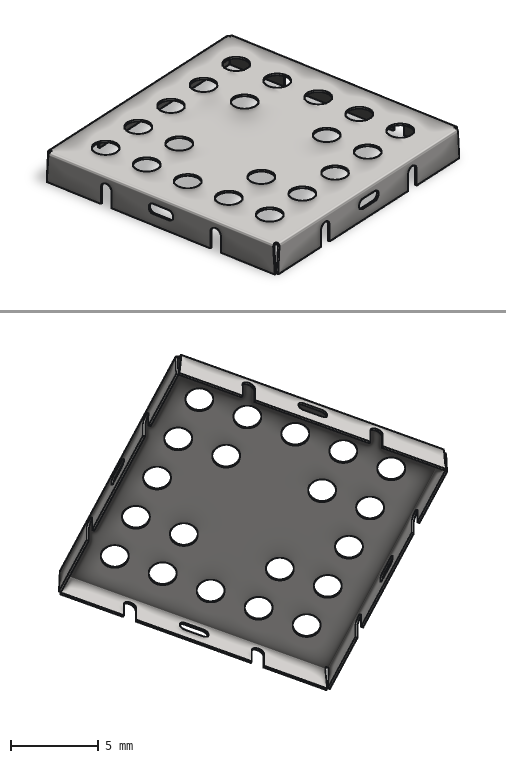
import cadquery as cq
import math

side = 16.96
height = 2.0

sheet = 0.14
bend_outer = 0.2
bend_inner = bend_outer - sheet

corner_relief = 0.27
foot_clearance = 0.15

hole_diameter = 1.6
hole_pitch = 3.0
holes_per_side = 5

notch_width = 0.78
notch_height = 1.5
notch_offset = 4.0
slot_length = 1.8
slot_height = 0.68
slot_center_z = 1.09

half = side / 2
bend_line = half - bend_outer
bend_base_z = height - bend_outer


def top_plate():
    """Flat top between the bend lines, with square corner reliefs and vent holes."""
    flat = 2 * bend_line
    plate = cq.Workplane("XY").workplane(offset=height - sheet).rect(flat, flat).extrude(sheet)

    relief_width = 2 * (corner_relief - bend_outer)
    reliefs = (
        cq.Workplane("XY")
        .rect(flat, flat, forConstruction=True)
        .vertices()
        .rect(relief_width, relief_width)
        .extrude(height)
    )

    middle = holes_per_side // 2
    steps = range(-middle, middle + 1)
    hole_points = [
        (column * hole_pitch, row * hole_pitch)
        for column in steps
        for row in steps
        if abs(column) + abs(row) > 1
    ]
    holes = cq.Workplane("XY").pushPoints(hole_points).circle(hole_diameter / 2).extrude(height)
    return plate.cut(reliefs).cut(holes)


def bent_strip():
    """Wall on the -Y side with its bend, running the full side length along X."""
    diagonal = math.sqrt(0.5)
    bend_center_y = -bend_line
    return (
        cq.Workplane("YZ")
        .workplane(offset=-half)
        .moveTo(-half, 0)
        .lineTo(-half, bend_base_z)
        .threePointArc(
            (bend_center_y - bend_outer * diagonal, bend_base_z + bend_outer * diagonal),
            (bend_center_y, height),
        )
        .lineTo(bend_center_y, height - sheet)
        .threePointArc(
            (bend_center_y - bend_inner * diagonal, bend_base_z + bend_inner * diagonal),
            (sheet - half, bend_base_z),
        )
        .lineTo(sheet - half, 0)
        .close()
        .extrude(side)
    )


def wall_outline():
    """Block with the outline of one wall: ends lean outward below the bend."""
    top_end = half - corner_relief
    foot_end = half - foot_clearance
    return (
        cq.Workplane("XZ")
        .polyline([
            (-foot_end, 0),
            (foot_end, 0),
            (top_end, bend_base_z),
            (top_end, height),
            (-top_end, height),
            (-top_end, bend_base_z),
        ])
        .close()
        .extrude(half)
    )


def wall_openings():
    """Two round-topped notches open at the foot and one central slot."""
    notches = (
        cq.Workplane("XZ")
        .pushPoints([(-notch_offset, 0), (notch_offset, 0)])
        .slot2D(2 * notch_height, notch_width, 90)
        .extrude(half)
    )
    slot = cq.Workplane("XZ").center(0, slot_center_z).slot2D(slot_length, slot_height).extrude(half)
    return notches.union(slot)


wall = bent_strip().intersect(wall_outline()).cut(wall_openings())

result = top_plate()
for quarter_turn in range(4):
    result = result.union(wall.rotate((0, 0, 0), (0, 0, 1), 90 * quarter_turn))